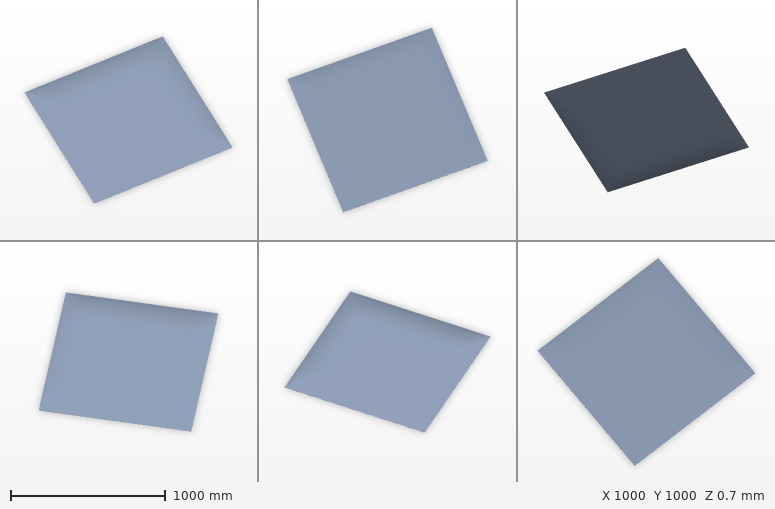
import cadquery as cq

side_length = 1000.0
thickness = 0.7

result = cq.Workplane("XY").box(side_length, side_length, thickness)